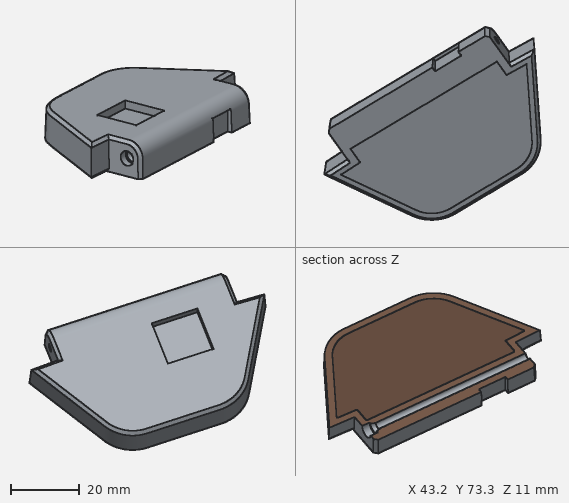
import cadquery as cq
import math

HEIGHT = 11.0
LENGTH = 43.2
SPAN = 73.3
DRAFT_ANGLE = 2.0
CHAMFER = 1.0

NOSE_HALF_WIDTH = 18.85
NOSE_RADIUS = 12.7
TIP_X = 31.45
WING_BACK_X = 32.85

HINGE_START_X = 22.0
HINGE_HALF_WIDTH = 28.1
HINGE_RADIUS = 5.0

BORE_X = LENGTH - 5.1
BORE_Z = 5.6
HEAD_DIAMETER = 4.5
HEAD_DEPTH = 2.7
SEAT_DIAMETER = 3.45
SEAT_DEPTH = 1.5
SCREW_DIAMETER = 2.35

WINDOW_LENGTH = 13.9
WINDOW_WIDTH = 14.15
WINDOW_CENTER = (26.0, -8.95)
WALL = 2.6

NOTCH_WIDTH = 9.1
NOTCH_CENTER_Y = 13.3
NOTCH_HEIGHT = 7.3
NOTCH_DEPTH = 1.5

INSERT_HEIGHT = HEIGHT - WALL
INSERT_BACK_X = 34.45

OVERCUT = 0.7


def wing_prism(offset, height, nose_radius, taper=0):
    """Extrude the wing outline, moved outward by offset, and round its two nose corners."""
    outline = [
        (0, -NOSE_HALF_WIDTH),
        (TIP_X, -SPAN / 2),
        (WING_BACK_X, 0),
        (TIP_X, SPAN / 2),
        (0, NOSE_HALF_WIDTH),
    ]
    base = cq.Workplane("XY").polyline(outline).close().offset2D(offset, "intersection")
    prism = base.extrude(height, taper=taper)
    return prism.faces("<X").edges("not |Y").fillet(nose_radius)


def hinge_prism(back_x, half_width, height, taper=0):
    """Extrude the rectangle that reaches from inside the wing to back_x."""
    base = cq.Workplane("XY").center((HINGE_START_X + back_x) / 2, 0)
    return base.rect(back_x - HINGE_START_X, 2 * half_width).extrude(height, taper=taper)


def is_chamfered(edge):
    """Pick the top rim, the wing's bottom rim and the upright rims of the hinge's back face."""
    center = edge.Center()
    on_top = center.z > HEIGHT - CHAMFER / 2
    on_bottom = center.z < CHAMFER / 2
    runs_along_hinge = center.x > WING_BACK_X
    if on_top:
        return not (runs_along_hinge and abs(center.y) < CHAMFER)
    if on_bottom:
        return not runs_along_hinge
    return center.x > BORE_X and abs(center.y) > HINGE_HALF_WIDTH - CHAMFER


def make_shell():
    """Drafted outer block: wing and hinge together, with rounded and chamfered rims."""
    foot_offset = CHAMFER * math.sin(math.radians(DRAFT_ANGLE))
    wing = wing_prism(foot_offset, HEIGHT, NOSE_RADIUS, DRAFT_ANGLE)
    hinge = hinge_prism(LENGTH, HINGE_HALF_WIDTH, HEIGHT, DRAFT_ANGLE)
    hinge = hinge.faces(">Z").edges(">X").fillet(HINGE_RADIUS)
    block = wing.union(hinge).clean()
    rims = [edge for edge in block.edges().vals() if is_chamfered(edge)]
    return block.newObject(rims).chamfer(CHAMFER)


def make_bore():
    """Stepped cutter turned about the hinge axis, entering at the -Y side."""
    seat_end = HEAD_DEPTH + SEAT_DEPTH
    far_end = 2 * HINGE_HALF_WIDTH + OVERCUT
    profile = [
        (0, -OVERCUT),
        (HEAD_DIAMETER / 2, -OVERCUT),
        (HEAD_DIAMETER / 2, HEAD_DEPTH),
        (SEAT_DIAMETER / 2, HEAD_DEPTH),
        (SCREW_DIAMETER / 2, seat_end),
        (SCREW_DIAMETER / 2, far_end),
        (0, far_end),
    ]
    cutter = cq.Workplane("XY").polyline(profile).close().revolve(360, (0, 0, 0), (0, 1, 0))
    return cutter.translate((BORE_X, -HINGE_HALF_WIDTH, BORE_Z))


def make_window():
    window = cq.Workplane("XY").workplane(offset=INSERT_HEIGHT).center(*WINDOW_CENTER)
    return window.rect(WINDOW_LENGTH, WINDOW_WIDTH).extrude(WALL + OVERCUT)


def make_notch():
    notch = cq.Workplane("XY").center(LENGTH, NOTCH_CENTER_Y)
    return notch.rect(2 * NOTCH_DEPTH, NOTCH_WIDTH).extrude(NOTCH_HEIGHT)


def make_insert():
    """Straight-sided body that follows the outer outline one wall thickness inside it."""
    wing = wing_prism(-WALL, INSERT_HEIGHT, NOSE_RADIUS - WALL)
    hinge = hinge_prism(INSERT_BACK_X, HINGE_HALF_WIDTH - WALL, INSERT_HEIGHT)
    return wing.union(hinge)


insert = make_insert()
housing = make_shell().cut(insert).cut(make_bore()).cut(make_window()).cut(make_notch())

result = cq.Compound.makeCompound([housing.solids().val(), insert.solids().val()])